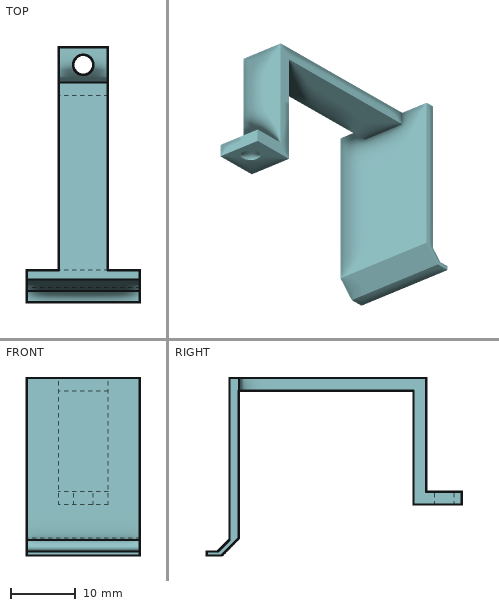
import cadquery as cq

overall_length = 39.5
overall_height = 27.5
plate_width = 17.5
arm_width = 7.6

arm_thickness = 2.0
tab_length = 5.5
tab_bottom = 7.9
hole_diameter = 3.1

plate_thickness = 1.5
plate_front = 3.5
lip_thickness = 0.67
bend_front_rise = 1.78
lip_flat = 1.75
lip_bottom_flat = 2.35
bend_back_height = 2.73

plate_back = plate_front + plate_thickness
leg_back = overall_length - tab_length
leg_front = leg_back - arm_thickness
arm_bottom = overall_height - arm_thickness
tab_top = tab_bottom + arm_thickness


def extrude_across(outline, width):
    """Extrude a closed (Y, Z) outline along X, centred on X = 0."""
    return cq.Workplane("YZ").polyline(outline).close().extrude(width / 2, both=True)


def make_arm():
    """Level arm, vertical leg and mounting tab with a through hole."""
    arm = extrude_across(
        [
            (plate_front, overall_height),
            (leg_back, overall_height),
            (leg_back, tab_top),
            (overall_length, tab_top),
            (overall_length, tab_bottom),
            (leg_front, tab_bottom),
            (leg_front, arm_bottom),
            (plate_front, arm_bottom),
        ],
        arm_width,
    )
    hole_y = overall_length - tab_length / 2
    hole = (
        cq.Workplane("XY", origin=(0, hole_y, tab_bottom))
        .circle(hole_diameter / 2)
        .extrude(arm_thickness)
    )
    return arm.cut(hole)


def make_plate():
    """Wide vertical plate, sloped bend and thin level lip."""
    return extrude_across(
        [
            (plate_front, overall_height),
            (plate_back, overall_height),
            (plate_back, bend_back_height),
            (lip_bottom_flat, 0),
            (0, 0),
            (0, lip_thickness),
            (lip_flat, lip_thickness),
            (plate_front, lip_thickness + bend_front_rise),
        ],
        plate_width,
    )


result = make_arm().union(make_plate())